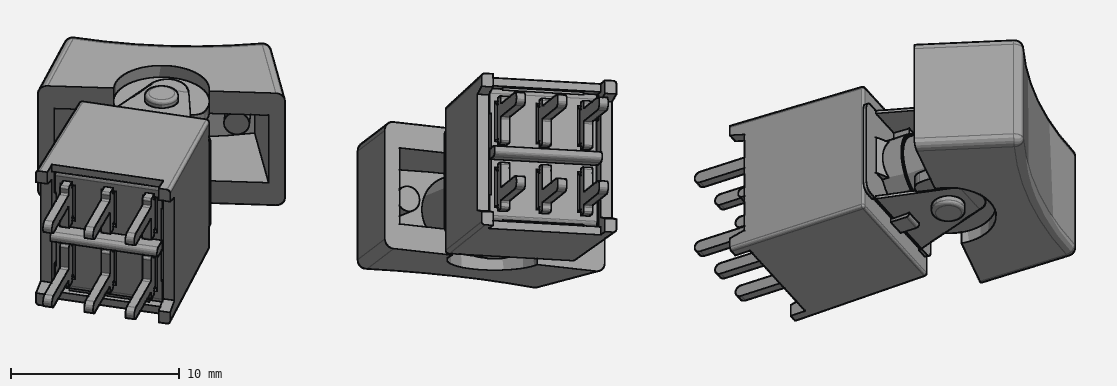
import cadquery as cq
import math


TILT = 12.5
ROCKER_BOTTOM_HALF = 7.35
ROCKER_TOP_HALF = 6.05
ROCKER_END_HEIGHT = 6.34
ROCKER_MID_HEIGHT = 5.58
ROCKER_HALF_Z = 3.85
ROCKER_ROUND = 0.55
WALL = 0.98
ROOF = 0.55
CAVITY_HALF_Z = 2.3
EAR_RADIUS = 2.84
EAR_FACE_Z = 3.05
EAR_DROP = 1.46
EAR_CORNER = 0.69
HUB_RADIUS = 2.2
HUB_END = 1.7
POST_DIAMETER = 1.5
POST_OFFSET = 4.28
POST_END = 2.9
PIN_DIAMETER = 2.0
PIN_TIP_Z = 3.62
PIN_ROUND = 0.23

SHEET = 0.2
PLATE_TOP = -3.35
PLATE_HALF_X = 4.0
PLATE_CORNER = 0.5
LEG_FOOT_Z = 3.25
LEG_BEND_Y = 1.45
LEG_BEND_Z = 3.055
LEG_FLARE = 11.0
LEG_FOOT_HALF_X = 2.9
LEG_TIP_RADIUS = 1.35
LEG_TIP_Y = 2.33

HOUSING_TOP = PLATE_TOP - SHEET
WALL_END = -11.5
FOOT_END = -12.5
HOUSING_TOP_HALF_X = 4.0
HOUSING_TOP_HALF_Z = 4.46
HOUSING_FOOT_HALF_X = 4.15
HOUSING_FOOT_HALF_Z = 4.6
HOUSING_EDGE_ROUND = 0.2
HOUSING_TOP_ROUND = 0.15
HOUSING_INNER_HALF_X = 3.43
HOUSING_INNER_HALF_Z = 4.1
FOOT_ROOT_Z = 3.52
FOOT_TIP_Z = 3.8
NECK_RADIUS = 2.25
NECK_TOP = 1.0
COLLAR_RADIUS = 2.4
COLLAR_TOP = -1.8
COLLAR_CHAMFER = 0.07
GUSSET_HALF_Z = 1.3
GUSSET_FOOT_X = 2.81
GUSSET_ANGLE = 28.0
TAB_HALF_X = 0.62
TAB_INNER_Z = 2.29
TAB_OUTER_Z = 3.45
TAB_TOP = -2.29
TAB_ROUND = 0.2

BASE_FACE = -11.25
BASE_DEPTH = 2.75
BASE_FACE_HALF_X = 3.3
BASE_HALF_Z = 4.05
BASE_ROUND = 0.35
LEDGE_HALF_X = 3.4
LEDGE_SETBACK = 0.14
RAMP_HALF_X = 3.23
RAMP_DEPTH = 0.57
PAD_HALF_LENGTH = 2.47
PAD_SETBACK = 0.1
RIB_END = -12.38
RIB_HALF_X = BASE_FACE_HALF_X
RIB_HALF_Z = 0.32

TERMINAL_PITCH = 2.55
TERMINAL_WIDTH = 0.55
PLATE_INNER_Z = 0.6
PLATE_OUTER_Z = 3.43
PLATE_END = -11.95
PLATE_ROUND = 0.14
PRONG_INNER_Z = 2.15
PRONG_OUTER_Z = 2.93
PRONG_END = -15.58
PRONG_ROOT_ROUND = 0.11
STEM_INNER_Z = 0.95
STEM_OUTER_Z = 3.05
STEM_DEPTH = 1.83
SLOT_BEVEL = 0.18


def box(x0, x1, y0, y1, z0, z1):
    size = (x1 - x0, y1 - y0, z1 - z0)
    return cq.Workplane("XY").box(*size, centered=False).translate((x0, y0, z0))


def mirrored(shape, plane):
    return shape.union(shape.mirror(plane))


def mirrored_pair(shape):
    return shape.add(shape.mirror("XY")).combine()


def cylinder_y(radius, y0, y1, x=0):
    return cq.Workplane("XZ", origin=(x, y1, 0)).circle(radius).extrude(y1 - y0)


def trapezoid_with_dip(bottom_half, top_half, end_height, mid_height, half_z):
    return (
        cq.Workplane("XY", origin=(0, 0, -half_z))
        .moveTo(-bottom_half, 0)
        .lineTo(bottom_half, 0)
        .lineTo(top_half, end_height)
        .threePointArc((0, mid_height), (-top_half, end_height))
        .close()
        .extrude(2 * half_z)
    )


def make_pins():
    return (
        cq.Workplane("XY", origin=(0, 0, -PIN_TIP_Z))
        .circle(PIN_DIAMETER / 2)
        .extrude(2 * PIN_TIP_Z)
        .edges()
        .fillet(PIN_ROUND)
        .cut(box(-EAR_RADIUS, EAR_RADIUS, -EAR_RADIUS, EAR_RADIUS, -CAVITY_HALF_Z, CAVITY_HALF_Z))
    )


def make_ears():
    disc = cq.Workplane("XY", origin=(0, 0, -EAR_FACE_Z)).circle(EAR_RADIUS).extrude(2 * EAR_FACE_Z)
    below = box(-EAR_RADIUS, EAR_RADIUS, -2 * EAR_RADIUS, -EAR_DROP, -EAR_FACE_Z, EAR_FACE_Z)
    ears = disc.cut(below).edges("|Z and <Y").fillet(EAR_CORNER)
    gap = box(-EAR_RADIUS, EAR_RADIUS, -EAR_RADIUS, EAR_RADIUS, -CAVITY_HALF_Z, CAVITY_HALF_Z)
    return ears.cut(gap)


def make_rocker():
    shell = trapezoid_with_dip(
        ROCKER_BOTTOM_HALF, ROCKER_TOP_HALF, ROCKER_END_HEIGHT, ROCKER_MID_HEIGHT, ROCKER_HALF_Z
    )
    shell = shell.faces("not <Y").edges("not <Y").fillet(ROCKER_ROUND)
    draft = (ROCKER_BOTTOM_HALF - ROCKER_TOP_HALF) / ROCKER_END_HEIGHT
    cavity_bottom_half = ROCKER_BOTTOM_HALF - WALL
    cavity_end_height = ROCKER_END_HEIGHT - ROOF
    cavity_top_half = cavity_bottom_half - draft * cavity_end_height
    cavity = trapezoid_with_dip(
        cavity_bottom_half, cavity_top_half, cavity_end_height, ROCKER_MID_HEIGHT - ROOF, CAVITY_HALF_Z
    )
    hub = cylinder_y(HUB_RADIUS, HUB_END, ROCKER_MID_HEIGHT - ROOF / 2)
    post_root = ROCKER_MID_HEIGHT
    posts = mirrored(cylinder_y(POST_DIAMETER / 2, POST_END, post_root, POST_OFFSET), "YZ")
    recess = (
        cq.Workplane("XY", origin=(0, 0, EAR_FACE_Z)).circle(EAR_RADIUS).extrude(ROCKER_HALF_Z)
    )
    rocker = shell.cut(cavity).cut(mirrored_pair(recess)).union(hub).union(posts)
    rocker = rocker.union(make_ears()).union(make_pins())
    return rocker.rotate((0, 0, 0), (0, 0, 1), TILT)


def make_leg():
    flare = math.tan(math.radians(LEG_FLARE))
    tip_z = LEG_BEND_Z + (LEG_TIP_Y - LEG_BEND_Y) * flare
    section = (
        cq.Workplane("YZ", origin=(-PLATE_HALF_X, 0, 0))
        .moveTo(HOUSING_TOP, LEG_FOOT_Z)
        .lineTo(LEG_BEND_Y, LEG_BEND_Z)
        .lineTo(LEG_TIP_Y, tip_z)
        .lineTo(LEG_TIP_Y, tip_z - SHEET)
        .lineTo(LEG_BEND_Y, LEG_BEND_Z - SHEET)
        .lineTo(HOUSING_TOP, LEG_FOOT_Z - SHEET)
        .close()
        .extrude(2 * PLATE_HALF_X)
    )
    tip_center = LEG_TIP_Y - LEG_TIP_RADIUS
    foot_angle = math.atan2(HOUSING_TOP - tip_center, LEG_FOOT_HALF_X)
    reach = math.hypot(LEG_FOOT_HALF_X, HOUSING_TOP - tip_center)
    tangent_angle = foot_angle + math.acos(LEG_TIP_RADIUS / reach)
    tangent_x = LEG_TIP_RADIUS * math.cos(tangent_angle)
    tangent_y = tip_center + LEG_TIP_RADIUS * math.sin(tangent_angle)
    outline = (
        cq.Workplane("XY")
        .moveTo(-LEG_FOOT_HALF_X, HOUSING_TOP)
        .lineTo(LEG_FOOT_HALF_X, HOUSING_TOP)
        .lineTo(tangent_x, tangent_y)
        .threePointArc((0, LEG_TIP_Y), (-tangent_x, tangent_y))
        .close()
        .extrude(2 * LEG_FOOT_Z)
    )
    return section.intersect(outline)


def make_bend_waste():
    """Corner left outside the round bend between a leg and the plate."""
    bend_z = LEG_FOOT_Z - SHEET
    corner = box(-LEG_FOOT_HALF_X, LEG_FOOT_HALF_X, HOUSING_TOP, PLATE_TOP, bend_z, LEG_FOOT_Z)
    bend = cq.Workplane("YZ", origin=(-LEG_FOOT_HALF_X, 0, 0)).center(PLATE_TOP, bend_z)
    return corner.cut(bend.circle(SHEET).extrude(2 * LEG_FOOT_HALF_X))


def make_bracket(housing):
    plate = box(-PLATE_HALF_X, PLATE_HALF_X, HOUSING_TOP, PLATE_TOP, -LEG_FOOT_Z, LEG_FOOT_Z)
    plate = plate.edges("|Y").fillet(PLATE_CORNER)
    bracket = plate.union(mirrored_pair(make_leg()))
    pin_hole = (
        cq.Workplane("XY", origin=(0, 0, -ROCKER_HALF_Z))
        .circle(PIN_DIAMETER / 2)
        .extrude(2 * ROCKER_HALF_Z)
    )
    return bracket.cut(mirrored_pair(make_bend_waste())).cut(pin_hole).cut(housing)


def make_neck():
    """Neck under the rocker's hub, with a wider collar and a sloping gusset on each side."""
    collar = cylinder_y(COLLAR_RADIUS, HOUSING_TOP, COLLAR_TOP).faces(">Y").chamfer(COLLAR_CHAMFER)
    neck = cylinder_y(NECK_RADIUS, HOUSING_TOP, NECK_TOP)
    rise = GUSSET_FOOT_X * math.tan(math.radians(GUSSET_ANGLE))
    gussets = (
        cq.Workplane("XY", origin=(0, 0, -GUSSET_HALF_Z))
        .moveTo(-GUSSET_FOOT_X, HOUSING_TOP)
        .lineTo(GUSSET_FOOT_X, HOUSING_TOP)
        .lineTo(GUSSET_FOOT_X, PLATE_TOP)
        .lineTo(0, PLATE_TOP + rise)
        .lineTo(-GUSSET_FOOT_X, PLATE_TOP)
        .close()
        .extrude(2 * GUSSET_HALF_Z)
    )
    return collar.union(neck).union(gussets)


def make_housing():
    body = (
        cq.Workplane("XZ", origin=(0, HOUSING_TOP, 0))
        .rect(2 * HOUSING_TOP_HALF_X, 2 * HOUSING_TOP_HALF_Z)
        .workplane(offset=HOUSING_TOP - FOOT_END)
        .rect(2 * HOUSING_FOOT_HALF_X, 2 * HOUSING_FOOT_HALF_Z)
        .loft(ruled=True)
        .edges("not(<Y or >Y)")
        .fillet(HOUSING_EDGE_ROUND)
        .faces(">Y")
        .edges()
        .fillet(HOUSING_TOP_ROUND)
    )
    cavity = box(
        -HOUSING_INNER_HALF_X, HOUSING_INNER_HALF_X, FOOT_END, BASE_FACE + BASE_DEPTH,
        -HOUSING_INNER_HALF_Z, HOUSING_INNER_HALF_Z,
    )
    far = 2 * HOUSING_TOP_HALF_Z
    between_feet_x = box(-HOUSING_INNER_HALF_X, HOUSING_INNER_HALF_X, FOOT_END, WALL_END, -far, far)
    between_feet_z = (
        cq.Workplane("YZ", origin=(-far, 0, 0))
        .polyline(
            [
                (WALL_END, FOOT_ROOT_Z),
                (FOOT_END, FOOT_TIP_Z),
                (FOOT_END, -FOOT_TIP_Z),
                (WALL_END, -FOOT_ROOT_Z),
            ]
        )
        .close()
        .extrude(2 * far)
    )
    tab = box(-TAB_HALF_X, TAB_HALF_X, HOUSING_TOP, TAB_TOP, TAB_INNER_Z, TAB_OUTER_Z)
    tab = tab.edges(">Y and >Z").fillet(TAB_ROUND)
    housing = body.cut(cavity).cut(between_feet_x).cut(between_feet_z)
    return housing.union(make_neck()).union(mirrored_pair(tab))


def round_tipped_bar(half_x, tip_y, z0, z1):
    """Bar from the base face to a fully rounded tip, with its round running along X."""
    radius = (z1 - z0) / 2
    tip = cq.Workplane("YZ", origin=(-half_x, tip_y + radius, (z0 + z1) / 2))
    tip = tip.circle(radius).extrude(2 * half_x)
    return box(-half_x, half_x, tip_y + radius, BASE_FACE, z0, z1).union(tip)


def make_terminal(x, side):
    half = TERMINAL_WIDTH / 2
    plate = box(-half, half, PLATE_END, BASE_FACE, PLATE_INNER_Z, PLATE_OUTER_Z)
    plate = plate.edges("|X and <Y").fillet(PLATE_ROUND)
    prong = round_tipped_bar(half, PRONG_END, PRONG_INNER_Z, PRONG_OUTER_Z)
    stem = box(-half, half, BASE_FACE, BASE_FACE + STEM_DEPTH, STEM_INNER_Z, STEM_OUTER_Z)
    margin = 0.02
    roots = cq.selectors.BoxSelector(
        (-margin, PLATE_END - margin, PRONG_INNER_Z - margin),
        (margin, PLATE_END + margin, PRONG_OUTER_Z + margin),
    )
    terminal = plate.union(prong).edges(roots).fillet(PRONG_ROOT_ROUND).union(stem)
    if side < 0:
        terminal = terminal.mirror("XY")
    return terminal.translate((x, 0, 0))


def make_base(terminals):
    back = BASE_FACE + BASE_DEPTH
    block = box(-BASE_FACE_HALF_X, BASE_FACE_HALF_X, BASE_FACE, back, -BASE_HALF_Z, BASE_HALF_Z)
    block = block.edges("|X and <Y").fillet(BASE_ROUND)
    ledge_face = BASE_FACE + LEDGE_SETBACK
    ledge = box(-LEDGE_HALF_X, LEDGE_HALF_X, ledge_face, back, -BASE_HALF_Z, BASE_HALF_Z)
    ledge = ledge.edges("|X and <Y").fillet(BASE_ROUND - LEDGE_SETBACK)

    ramp_back = BASE_FACE + RAMP_DEPTH
    side = box(RAMP_HALF_X, LEDGE_HALF_X, BASE_FACE, ramp_back, -PAD_HALF_LENGTH, PAD_HALF_LENGTH)
    ramps = (
        cq.Workplane("XY", origin=(0, 0, -PAD_HALF_LENGTH))
        .polyline(
            [
                (-RAMP_HALF_X, BASE_FACE),
                (RAMP_HALF_X, BASE_FACE),
                (LEDGE_HALF_X, ramp_back),
                (-LEDGE_HALF_X, ramp_back),
            ]
        )
        .close()
        .extrude(2 * PAD_HALF_LENGTH)
    )
    pads = box(
        -PAD_HALF_LENGTH, PAD_HALF_LENGTH, BASE_FACE + PAD_SETBACK, back,
        -HOUSING_INNER_HALF_Z, HOUSING_INNER_HALF_Z,
    )
    rib = round_tipped_bar(RIB_HALF_X, RIB_END, -RIB_HALF_Z, RIB_HALF_Z)
    base = block.union(ledge).cut(mirrored(side, "YZ")).union(ramps).union(pads).union(rib)

    slot_center = (STEM_INNER_Z + STEM_OUTER_Z) / 2
    bevels = (
        cq.Workplane("XZ", origin=(0, BASE_FACE, 0))
        .pushPoints([(TERMINAL_PITCH * i, s * slot_center) for i in (-1, 0, 1) for s in (-1, 1)])
        .rect(TERMINAL_WIDTH + 2 * SLOT_BEVEL, STEM_OUTER_Z - STEM_INNER_Z + 2 * SLOT_BEVEL)
        .extrude(-SLOT_BEVEL, taper=45)
    )
    base = base.cut(bevels)
    for terminal in terminals:
        base = base.cut(terminal)
    return base


housing = make_housing()
bracket = make_bracket(housing)
rocker = make_rocker().cut(bracket)
terminals = [make_terminal(TERMINAL_PITCH * i, side) for i in (-1, 0, 1) for side in (-1, 1)]
base = make_base(terminals)

result = cq.Compound.makeCompound(
    [housing.val(), bracket.val(), rocker.val(), base.val(), *[t.val() for t in terminals]]
)